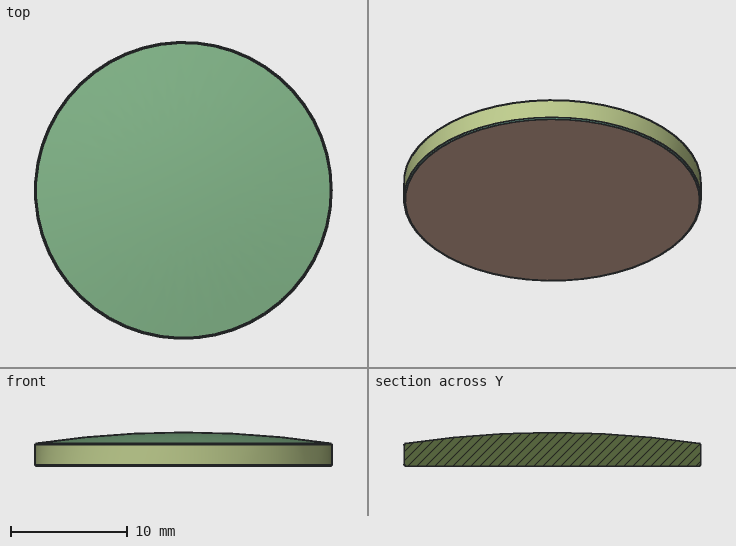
import cadquery as cq

diameter = 25.4
center_thickness = 2.92
dome_height = 0.95
bevel = 0.13

radius = diameter / 2
face_radius = radius - bevel
rim_height = center_thickness - dome_height

curvature_radius = (face_radius**2 + dome_height**2) / (2 * dome_height)
sphere_center = center_thickness - curvature_radius
arc_mid_x = face_radius / 2
arc_mid_z = sphere_center + (curvature_radius**2 - arc_mid_x**2) ** 0.5

half_section = (
    cq.Workplane("XZ")
    .moveTo(0, 0)
    .lineTo(face_radius, 0)
    .lineTo(radius, bevel)
    .lineTo(radius, rim_height - bevel)
    .lineTo(face_radius, rim_height)
    .threePointArc((arc_mid_x, arc_mid_z), (0, center_thickness))
    .close()
)

result = half_section.revolve(360, (0, 0, 0), (0, 1, 0))